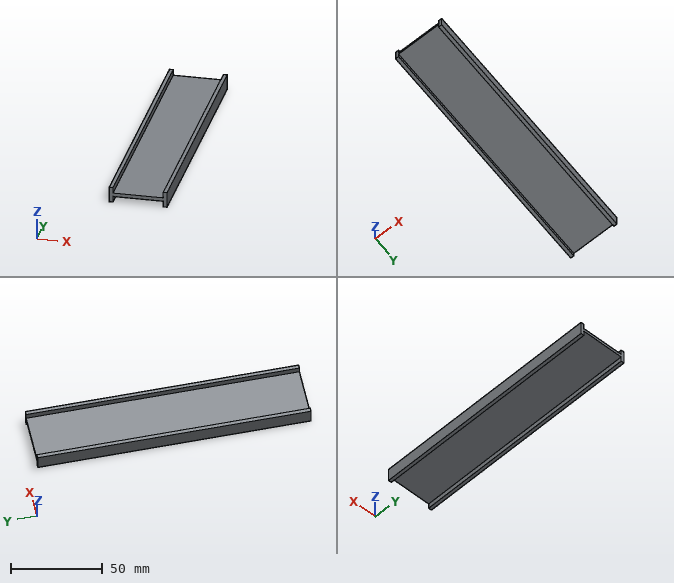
import cadquery as cq

width = 32.3
length = 152.4
height = 8.8

flange_thickness = 2.1
web_thickness = 2.1

web_width = width - 2 * flange_thickness
flange_offset = (width - flange_thickness) / 2

result = cq.Workplane("XY").box(web_width, length, web_thickness)

for side in (-1, 1):
    flange = cq.Workplane("XY").box(flange_thickness, length, height)
    result = result.union(flange.translate((side * flange_offset, 0, 0)))